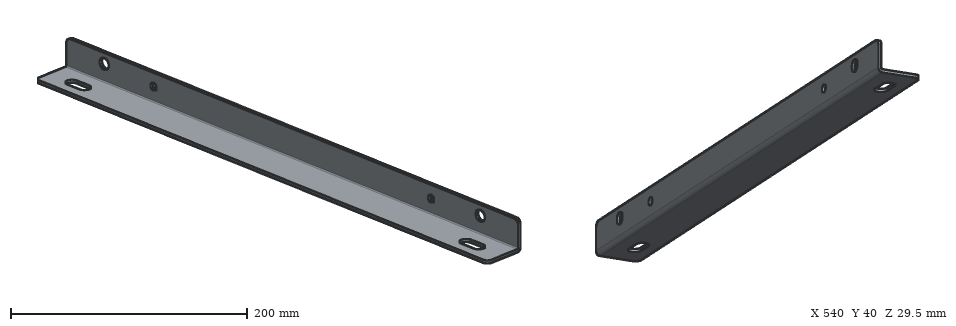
import cadquery as cq

length = 540.0
flat_width = 40.0
upright_height = 29.5
thickness = 3.0
inner_bend_radius = 1.0
outer_bend_radius = inner_bend_radius + thickness
corner_radius = 5.0

slot_length = 26.0
slot_width = 11.5
slot_end_distance = 34.5
slot_front_distance = 17.0

large_hole_diameter = 11.0
large_hole_end_distance = 45.5
large_hole_top_distance = 10.0
small_hole_diameter = 7.0
small_hole_end_distance = 104.0
small_hole_top_distance = 13.0


def mirrored_positions(end_distance, height):
    """Return one point near each end of the angle."""
    x = length / 2 - end_distance
    return [(-x, height), (x, height)]


def make_angle():
    """Extrude the L section, then round its bend and the free leg corners."""
    angle = (
        cq.Workplane("YZ")
        .moveTo(0, 0)
        .lineTo(flat_width, 0)
        .lineTo(flat_width, upright_height)
        .lineTo(flat_width - thickness, upright_height)
        .lineTo(flat_width - thickness, thickness)
        .lineTo(0, thickness)
        .close()
        .extrude(length / 2, both=True)
    )
    inner_bend = cq.selectors.NearestToPointSelector((0, flat_width - thickness, thickness))
    outer_bend = cq.selectors.NearestToPointSelector((0, flat_width, 0))
    angle = angle.edges(inner_bend).fillet(inner_bend_radius)
    angle = angle.edges(outer_bend).fillet(outer_bend_radius)
    angle = angle.faces("<Y").edges("|Z").fillet(corner_radius)
    return angle.faces(">Z").edges("|Y").fillet(corner_radius)


def make_slots():
    """Cutters through the flat leg, long along X."""
    return (
        cq.Workplane("XY")
        .pushPoints(mirrored_positions(slot_end_distance, slot_front_distance))
        .slot2D(slot_length, slot_width)
        .extrude(thickness)
    )


def make_holes(diameter, end_distance, top_distance):
    """A mirrored pair of round cutters through the upright leg."""
    return (
        cq.Workplane("XZ", origin=(0, flat_width, 0))
        .pushPoints(mirrored_positions(end_distance, upright_height - top_distance))
        .circle(diameter / 2)
        .extrude(thickness)
    )


large_holes = make_holes(large_hole_diameter, large_hole_end_distance, large_hole_top_distance)
small_holes = make_holes(small_hole_diameter, small_hole_end_distance, small_hole_top_distance)
result = make_angle().cut(make_slots()).cut(large_holes).cut(small_holes)